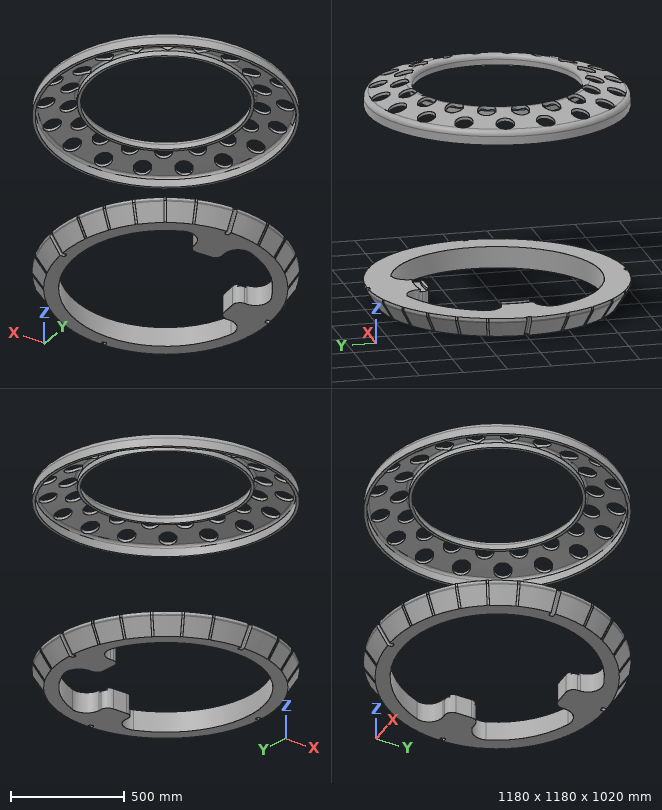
import cadquery as cq
import math

OUTER_RADIUS = 590.0
TOTAL_HEIGHT = 1020.0

COVER_HEIGHT = 120.0
COVER_CAVITY_DIAMETER = 1150.0
COVER_WALL = OUTER_RADIUS - COVER_CAVITY_DIAMETER / 2
COVER_BORE_RADIUS = 375.0
COVER_SLOPE = 17.5
OUTER_ROUND = 30.0
BORE_ROUND = 25.0
BORE_LIP_BOTTOM = 70.0

HOLE_DIAMETER = 80.0
HOLES_PER_ROW = 18
OUTER_ROW_RADIUS = 529.0
OUTER_ROW_START = 90.0
INNER_ROW_RADIUS = 431.0
INNER_ROW_START = 0.0

BASE_HEIGHT = 99.0
BASE_BORE_RADIUS = 472.0
BASE_FOOT_RADIUS = 538.0
RIM_HEIGHT = 18.0
RIM_ROUND = 8.0
RIM_BOTTOM = BASE_HEIGHT - RIM_HEIGHT
RIM_RUN = OUTER_RADIUS - BASE_FOOT_RADIUS

LUG_TURNS = (0, 90)
LUG_TIP_RADIUS = 321.0
LUG_HALF_WIDTH = 75.0
LUG_TIP_ROUND = 38.0
LUG_ROOT_ROUND = 71.0
LUG_OVERLAP = 12.0

SEAT_INNER_RADIUS = 340.0
SEAT_OUTER_RADIUS = 375.0
SEAT_DEPTH = 11.0

SLOT_WIDTH = 21.0
SLOT_DEPTH = 22.0
SLOT_FLOOR_ROUND = 5.0
RIB_WIDTH = 11.0
RIB_ROOT = 12.0
RIB_HEIGHT = 2.0
QUADRANTS = 4
RIBS_PER_QUADRANT = 5
RIB_PITCH = 13.5


def cone_shell_outline(bore_radius, outer_radius, wall_inset, outer_round, bore_round):
    """Half section of the cover's outside, moved inward by wall_inset."""
    slope = math.radians(COVER_SLOPE)
    sin_slope = math.sin(slope)
    cos_slope = math.cos(slope)
    bore_centre_r = bore_radius + bore_round
    bore_centre_z = COVER_HEIGHT - wall_inset - bore_round
    outer_centre_r = outer_radius - outer_round
    outer_centre_z = (
        bore_centre_z
        - (outer_centre_r - bore_centre_r) * math.tan(slope)
        - (outer_round - bore_round) / cos_slope
    )

    def on_round(centre_r, centre_z, radius, angle):
        return (centre_r + radius * math.cos(angle), centre_z + radius * math.sin(angle))

    cone_normal = math.pi / 2 - slope
    bore_mid = (math.pi + cone_normal) / 2
    outer_mid = cone_normal / 2
    return (
        cq.Workplane("XZ")
        .moveTo(bore_radius, 0)
        .lineTo(bore_radius, bore_centre_z)
        .threePointArc(
            on_round(bore_centre_r, bore_centre_z, bore_round, bore_mid),
            (bore_centre_r + bore_round * sin_slope, bore_centre_z + bore_round * cos_slope),
        )
        .lineTo(outer_centre_r + outer_round * sin_slope, outer_centre_z + outer_round * cos_slope)
        .threePointArc(
            on_round(outer_centre_r, outer_centre_z, outer_round, outer_mid),
            (outer_radius, outer_centre_z),
        )
        .lineTo(outer_radius, 0)
        .close()
    )


def ring(inner_radius, outer_radius, bottom, height):
    return (
        cq.Workplane("XY").workplane(offset=bottom)
        .circle(outer_radius).circle(inner_radius).extrude(height)
    )


def make_cover():
    outside = cone_shell_outline(
        COVER_BORE_RADIUS, OUTER_RADIUS, 0, OUTER_ROUND, BORE_ROUND
    ).revolve(360, (0, 0), (0, 1))
    cavity = cone_shell_outline(
        COVER_BORE_RADIUS + COVER_WALL,
        OUTER_RADIUS - COVER_WALL,
        COVER_WALL,
        OUTER_ROUND - COVER_WALL,
        BORE_ROUND - COVER_WALL,
    ).revolve(360, (0, 0), (0, 1))
    below_lip = ring(COVER_BORE_RADIUS, COVER_BORE_RADIUS + 2 * COVER_WALL, 0, BORE_LIP_BOTTOM)
    cover = outside.cut(cavity).cut(below_lip)
    for row_radius, start in (
        (OUTER_ROW_RADIUS, OUTER_ROW_START),
        (INNER_ROW_RADIUS, INNER_ROW_START),
    ):
        holes = (
            cq.Workplane("XY")
            .polarArray(row_radius, start, 360, HOLES_PER_ROW)
            .circle(HOLE_DIAMETER / 2)
            .extrude(COVER_HEIGHT)
        )
        cover = cover.cut(holes)
    return cover.translate((0, 0, TOTAL_HEIGHT - COVER_HEIGHT))


def make_lug():
    """A lug on the +Y side pointing at the axis: rounded tip, hollow-rounded roots."""
    root_x = LUG_HALF_WIDTH + LUG_ROOT_ROUND
    root_centre_radius = BASE_BORE_RADIUS - LUG_ROOT_ROUND
    root_y = math.sqrt(root_centre_radius ** 2 - root_x ** 2)
    touch_scale = BASE_BORE_RADIUS / root_centre_radius
    touch_x = root_x * touch_scale
    touch_y = root_y * touch_scale
    back_y = BASE_BORE_RADIUS + LUG_OVERLAP
    tip_flat = LUG_HALF_WIDTH - LUG_TIP_ROUND
    shoulder_y = LUG_TIP_RADIUS + LUG_TIP_ROUND
    return (
        cq.Workplane("XY")
        .moveTo(-tip_flat, LUG_TIP_RADIUS)
        .lineTo(tip_flat, LUG_TIP_RADIUS)
        .radiusArc((LUG_HALF_WIDTH, shoulder_y), -LUG_TIP_ROUND)
        .lineTo(LUG_HALF_WIDTH, root_y)
        .radiusArc((touch_x, touch_y), LUG_ROOT_ROUND)
        .lineTo(touch_x, back_y)
        .lineTo(-touch_x, back_y)
        .lineTo(-touch_x, touch_y)
        .radiusArc((-LUG_HALF_WIDTH, root_y), LUG_ROOT_ROUND)
        .lineTo(-LUG_HALF_WIDTH, shoulder_y)
        .radiusArc((-tip_flat, LUG_TIP_RADIUS), -LUG_TIP_ROUND)
        .close()
        .extrude(BASE_HEIGHT)
    )


def make_slot():
    """A round-cornered cutter sunk into the tapered side and parallel to it, open at both ends."""
    slope = RIM_RUN / RIM_BOTTOM
    bottom = -BASE_HEIGHT
    top = 2 * BASE_HEIGHT
    floor_at_foot = BASE_FOOT_RADIUS - SLOT_DEPTH
    return (
        cq.Workplane("XZ")
        .moveTo(floor_at_foot + slope * bottom, bottom)
        .lineTo(floor_at_foot + slope * top, top)
        .lineTo(2 * OUTER_RADIUS, top)
        .lineTo(2 * OUTER_RADIUS, bottom)
        .close()
        .extrude(SLOT_WIDTH / 2, both=True)
        .faces("<X").edges("not |Y").fillet(SLOT_FLOOR_ROUND)
    )


def make_rib():
    """A low rib that follows the tapered side and the rim."""
    return (
        cq.Workplane("XZ")
        .moveTo(BASE_FOOT_RADIUS - RIB_ROOT, 0)
        .lineTo(BASE_FOOT_RADIUS + RIB_HEIGHT, 0)
        .lineTo(OUTER_RADIUS + RIB_HEIGHT, RIM_BOTTOM)
        .lineTo(OUTER_RADIUS + RIB_HEIGHT, BASE_HEIGHT)
        .lineTo(BASE_FOOT_RADIUS - RIB_ROOT, BASE_HEIGHT)
        .close()
        .extrude(RIB_WIDTH / 2, both=True)
    )


def turned(shape, angle):
    return shape.rotate((0, 0, 0), (0, 0, 1), angle)


def make_base():
    base = (
        cq.Workplane("XZ")
        .moveTo(BASE_BORE_RADIUS, 0)
        .lineTo(BASE_FOOT_RADIUS, 0)
        .lineTo(OUTER_RADIUS, RIM_BOTTOM)
        .lineTo(OUTER_RADIUS, BASE_HEIGHT)
        .lineTo(BASE_BORE_RADIUS, BASE_HEIGHT)
        .close()
        .revolve(360, (0, 0), (0, 1))
        .edges(cq.selectors.NearestToPointSelector((0, 0, RIM_BOTTOM)))
        .fillet(RIM_ROUND)
    )
    lug = make_lug()
    for turn in LUG_TURNS:
        base = base.union(turned(lug, turn))
    base = base.cut(ring(SEAT_INNER_RADIUS, SEAT_OUTER_RADIUS, BASE_HEIGHT - SEAT_DEPTH, SEAT_DEPTH))

    slot = make_slot()
    rib = make_rib()
    quadrant_angle = 360 / QUADRANTS
    middle_index = (RIBS_PER_QUADRANT - 1) / 2
    for quadrant in range(QUADRANTS):
        start = quadrant * quadrant_angle
        base = base.cut(turned(slot, start))
        for index in range(RIBS_PER_QUADRANT):
            offset = (index - middle_index) * RIB_PITCH
            base = base.union(turned(rib, start + quadrant_angle / 2 + offset))
    return base


cover = make_cover()
base = make_base()
result = cq.Compound.makeCompound([cover.val(), base.val()])